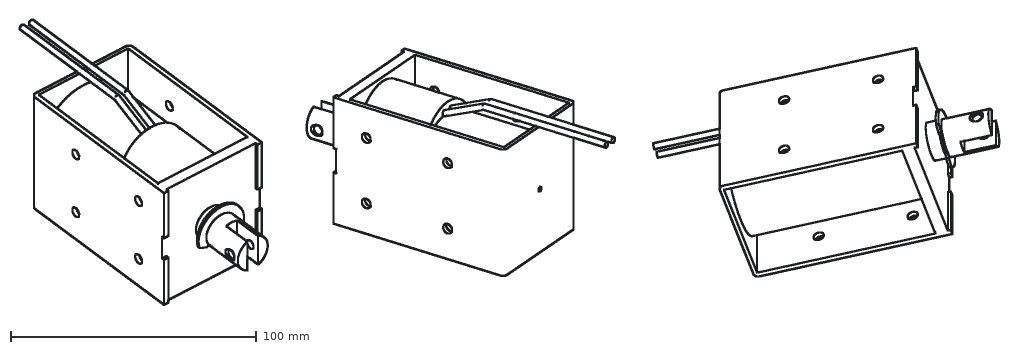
import cadquery as cq
import math


frame_back = 34.3
frame_front = 118.4
frame_width = 52.0
frame_height = 58.0
back_thickness = 1.7
side_thickness = 2.3
bend_radius = 2.0
plate_inner = 111.8
plate_outer = 117.1
notch_height = 11.2
screw_hole_diameter = 4.3
screw_hole_first_x = 62.2
screw_hole_pitch_x = 40.0
screw_hole_pitch_z = 30.0
vent_diameter = 2.0

coil_diameter = 44.0
cover_start = 79.8
cover_half_width = 16.1
cover_top = 27.0
wire_diameter = 2.6
wire_pitch = 4.9
wire_bend_x = 60.2
wire_height = 31.5
wire_slope = 24.0

plunger_diameter = 16.0
plunger_tip = 143.7
fork_start = 130.3
fork_gap = 5.7
pin_hole_diameter = 4.0
pin_hole_x = 138.7
countersink_diameter = 5.7
countersink_depth = 0.9
clip_start = 122.6
clip_thickness = 1.1
clip_diameter = 24.1
groove_diameter = 14.0
clip_mouth_tilt = 20.0
clip_throat_half_angle = 37.0
clip_flare_half_angle = 53.0
clip_throat_radius = 9.5


def box(x_start, x_end, width, height):
    """Block centred on the solenoid axis."""
    return cq.Workplane("XY").box(x_end - x_start, width, height, centered=(False, True, True)).translate(
        (x_start, 0, 0)
    )


def rod(x_start, x_end, diameter):
    """Cylinder on the solenoid axis."""
    return cq.Workplane("YZ", origin=(x_start, 0, 0)).circle(diameter / 2).extrude(x_end - x_start)


def make_frame():
    inner_width = frame_width - 2 * side_thickness
    frame = box(frame_back, frame_front, frame_width, frame_height)
    frame = frame.edges("|Z and <X").fillet(bend_radius)
    frame = frame.cut(box(frame_back + back_thickness, plate_inner, inner_width, frame_height))
    frame = frame.cut(box(plate_outer, frame_front, inner_width, frame_height))

    frame = frame.cut(box(plate_outer, frame_front, frame_width, notch_height))

    screw_holes = (
        cq.Workplane("XZ", origin=(screw_hole_first_x + screw_hole_pitch_x / 2, frame_width / 2, 0))
        .rarray(screw_hole_pitch_x, screw_hole_pitch_z, 2, 2)
        .circle(screw_hole_diameter / 2)
        .extrude(frame_width)
    )
    frame = frame.cut(screw_holes)

    frame = frame.cut(rod(frame_back, frame_back + back_thickness, vent_diameter))
    return frame.cut(rod(plate_inner, plate_outer, plunger_diameter))


def make_wire(y):
    """Lead that runs level, then slopes down into the face of the lead cover."""
    drop = (cover_start - wire_bend_x) * math.tan(math.radians(wire_slope))
    path = (
        cq.Workplane("XZ", origin=(0, y, 0))
        .moveTo(0, wire_height)
        .lineTo(wire_bend_x, wire_height)
        .lineTo(cover_start, wire_height - drop)
    )
    return (
        cq.Workplane("YZ", origin=(0, y, wire_height))
        .circle(wire_diameter / 2)
        .sweep(path, transition="right")
    )


def make_coil():
    coil = rod(frame_back + back_thickness, plate_inner, coil_diameter)

    cover_edge_z = math.sqrt((coil_diameter / 2) ** 2 - cover_half_width**2)
    cover = (
        cq.Workplane("YZ", origin=(cover_start, 0, 0))
        .moveTo(-cover_half_width, cover_edge_z)
        .threePointArc((0, cover_top), (cover_half_width, cover_edge_z))
        .close()
        .extrude(plate_inner - cover_start)
    )
    coil = coil.union(cover)
    for side in (-1, 1):
        coil = coil.union(make_wire(side * wire_pitch / 2))
    return coil


def make_clip():
    """Retaining ring with a flared mouth that opens downward, tilted toward -Y."""
    ring = rod(clip_start, clip_start + clip_thickness, clip_diameter)

    def mouth_point(radius, angle):
        direction = math.radians(angle - clip_mouth_tilt)
        return (radius * math.sin(direction), -radius * math.cos(direction))

    rim_radius = clip_diameter / 2
    mouth = (
        cq.Workplane("YZ", origin=(clip_start, 0, 0))
        .moveTo(0, 0)
        .lineTo(*mouth_point(clip_throat_radius, -clip_throat_half_angle))
        .lineTo(*mouth_point(rim_radius, -clip_flare_half_angle))
        .threePointArc(mouth_point(rim_radius, 0), mouth_point(rim_radius, clip_flare_half_angle))
        .lineTo(*mouth_point(clip_throat_radius, clip_throat_half_angle))
        .close()
        .extrude(clip_thickness)
    )
    return ring.cut(mouth)


def make_pin_hole():
    """Cross hole through the fork, countersunk on both sides."""
    hole = (
        cq.Workplane("XZ", origin=(pin_hole_x, plunger_diameter / 2, 0))
        .circle(pin_hole_diameter / 2)
        .extrude(plunger_diameter)
    )
    for side in (-1, 1):
        countersink = cq.Solid.makeCone(
            countersink_diameter / 2,
            pin_hole_diameter / 2,
            countersink_depth,
            pnt=cq.Vector(pin_hole_x, side * plunger_diameter / 2, 0),
            dir=cq.Vector(0, -side, 0),
        )
        hole = hole.union(cq.Workplane(countersink))
    return hole


def make_plunger():
    plunger = rod(plate_inner, plunger_tip, plunger_diameter)
    plunger = plunger.cut(box(fork_start, plunger_tip, fork_gap, plunger_diameter))
    plunger = plunger.cut(make_pin_hole())

    clip_band = rod(clip_start, clip_start + clip_thickness, plunger_diameter)
    groove_core = rod(clip_start, clip_start + clip_thickness, groove_diameter)
    plunger = plunger.cut(clip_band.cut(groove_core))
    return plunger.union(make_clip())


frame = make_frame()
coil = make_coil()
plunger = make_plunger()

result = cq.Compound.makeCompound([frame.val(), coil.val(), plunger.val()])